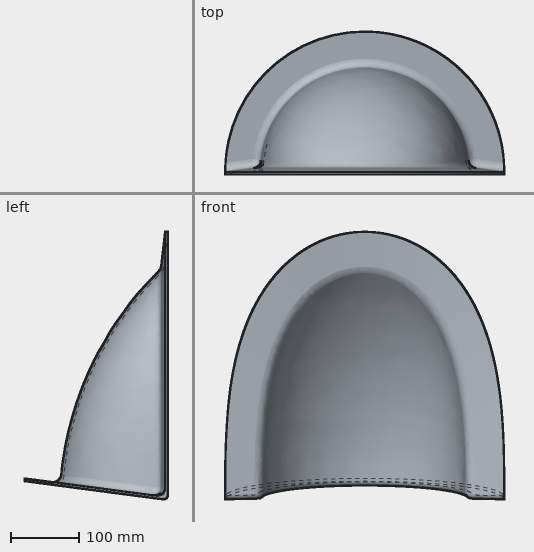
import cadquery as cq
import math

width = 410.0
depth = 210.5
height = 393.5
thickness = 4.0

dish_depth = 9.0
dish_run = 65.5
dish_drop = 78.0
arch_power = 3.0
arch_point_count = 14

tilt_deg = 7.5
base_lowering = 0.9
base_center_y = depth - width / 2

profile_radius = 490.5
profile_center_z = -13.5
hood_depth = 159.5
hood_half_width = 153.5
mouth_y = 10.5
apex_section_back = 33.0
base_section_back = 4.0
section_count = 10
overhang = 16.5
below = 33.0

inside_round = 11.5
mouth_round = 15.5
base_round = 6.5


def arch_width_squared(half_width, apex_z, z):
    """Square of the arch half width at height z; constant below z = 0."""
    return half_width**2 * (1 - max(z, 0) ** arch_power / apex_z**arch_power)


def arch(half_width, apex_z, y):
    """Closed arch wire in the plane at y, running straight below z = 0."""
    right_side = [(half_width, -below)]
    for index in range(1, arch_point_count):
        angle = math.pi / 2 * index / arch_point_count
        z = apex_z * math.sin(angle) ** (2 / arch_power)
        right_side.append((math.sqrt(arch_width_squared(half_width, apex_z, z)), z))
    left_side = [(-x, z) for x, z in reversed(right_side)]
    return (
        cq.Workplane("XZ", origin=(0, y, 0))
        .spline(right_side + [(0, apex_z)] + left_side, tangents=[(0, 1), (0, -1)])
        .close()
        .wires()
        .val()
    )


def dished_plug(y):
    """Shallow frustum that has the outline of the rim at y and tapers beyond it."""
    outward = overhang / dish_run
    wide_end = arch(width / 2 + overhang, height + dish_drop * outward, y - dish_depth * outward)
    narrow_end = arch(width / 2 - dish_run, height - dish_drop, y + dish_depth)
    backing = cq.Solid.extrudeLinear(wide_end, [], cq.Vector(0, -thickness, 0))
    return cq.Workplane(cq.Solid.makeLoft([wide_end, narrow_end], True)).union(cq.Workplane(backing))


def below_base(offset):
    """Block below the tilted plane raised by offset along its normal."""
    block = cq.Workplane("XY").box(3 * width, 3 * width, height, centered=(True, True, False))
    block = block.translate((0, 0, -height + offset - base_lowering))
    return block.rotate((0, 0, 0), (1, 0, 0), tilt_deg)


def hood(inset):
    """Smooth solid bounded by the hood surface, moved inwards by inset."""
    radius = profile_radius - inset
    center_y = hood_depth - profile_radius
    apex_z = profile_center_z + math.sqrt(radius**2 - (mouth_y - center_y)**2)
    half_width = hood_half_width - inset
    step = (apex_z + below) / (section_count - 1.5)
    sections = []
    for index in range(section_count):
        z = -below + index * step
        reach = center_y + math.sqrt(radius**2 - (z - profile_center_z)**2) - mouth_y
        section_back = base_section_back + (apex_section_back - base_section_back) * max(z, 0) / apex_z
        semi_y = reach + section_back
        mouth_squared = arch_width_squared(half_width, apex_z, z)
        semi_x = math.sqrt(mouth_squared / (1 - (section_back / semi_y)**2))
        section = (
            cq.Workplane("XY", origin=(0, mouth_y - section_back, z))
            .moveTo(semi_x, 0)
            .ellipseArc(semi_x, semi_y, 0, 180, startAtCurrent=True)
            .close()
        )
        sections.append(section.wires().val())
    return cq.Workplane(cq.Solid.makeLoft(sections))


def front_space():
    """Space in front of the dished flange."""
    block = cq.Workplane("XY").box(3 * width, width, 3 * height).translate((0, -width / 2, 0))
    return block.union(dished_plug(0))


flange_seams = cq.selectors.BoxSelector((-184.5, 5.0, -4), (184.5, 123, 246))
mouth_seam = cq.selectors.BoxSelector((-37, 5.0, 41), (37, 24.5, 246))
base_seam = cq.selectors.BoxSelector((-37, 41, -4), (37, 123, 24.5))

base_slab = cq.Workplane("XY").box(width + overhang, 2 * depth, height).intersect(below_base(thickness))
outer = hood(0).union(dished_plug(thickness)).union(base_slab).cut(below_base(0))
outer = outer.edges(flange_seams).fillet(inside_round)

base_outline = (
    cq.Workplane("XY", origin=(0, 0, -below))
    .moveTo(width / 2, 0)
    .lineTo(width / 2, base_center_y)
    .threePointArc((0, depth), (-width / 2, base_center_y))
    .lineTo(-width / 2, 0)
    .close()
    .extrude(2 * height)
)
rim_outline = cq.Solid.extrudeLinear(arch(width / 2, height, 0), [], cq.Vector(0, depth, 0))
outline = base_outline.intersect(cq.Workplane(rim_outline))

space = hood(thickness).union(front_space()).union(below_base(0))
space = space.edges(mouth_seam).fillet(mouth_round)
space = space.edges(base_seam).fillet(base_round)
result = outer.intersect(outline).cut(space)